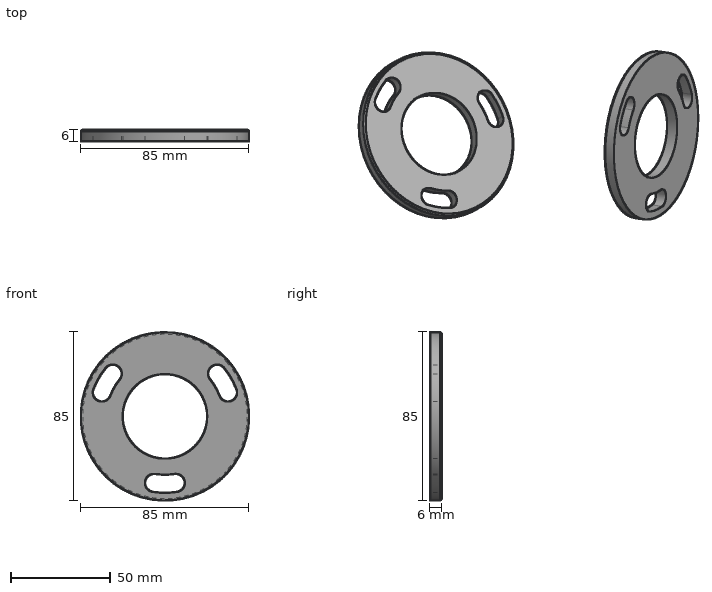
import cadquery as cq
import math

outer_diameter = 85.0
bore_diameter = 42.5
thickness = 6.0
rear_chamfer = 1.0

slot_pitch_radius = 34.0
slot_width = 9.0
slot_half_sweep = 9.25
slot_count = 3
first_slot_angle = -90.0


def ring_blank():
    """Plain ring from Y = 0 to Y = thickness, chamfered on the outer rear edge."""
    disc = cq.Workplane("XZ").circle(outer_diameter / 2).extrude(-thickness)
    disc = disc.faces(">Y").edges().chamfer(rear_chamfer)
    bore = cq.Workplane("XZ").circle(bore_diameter / 2).extrude(-thickness)
    return disc.cut(bore)


def polar_point(radius, angle):
    """Point in the XZ plane at an angle in degrees."""
    return (radius * math.cos(math.radians(angle)), radius * math.sin(math.radians(angle)))


def curved_slot(middle_angle):
    """Through cutter for one arc-shaped slot with round ends."""
    start = middle_angle - slot_half_sweep
    end = middle_angle + slot_half_sweep
    inner_radius = slot_pitch_radius - slot_width / 2
    outer_radius = slot_pitch_radius + slot_width / 2
    end_centre = cq.Vector(*polar_point(slot_pitch_radius, end))
    start_centre = cq.Vector(*polar_point(slot_pitch_radius, start))
    end_tip = end_centre + cq.Vector(*polar_point(slot_width / 2, end + 90))
    start_tip = start_centre + cq.Vector(*polar_point(slot_width / 2, start - 90))
    return (
        cq.Workplane("XZ")
        .moveTo(*polar_point(outer_radius, start))
        .threePointArc(polar_point(outer_radius, middle_angle), polar_point(outer_radius, end))
        .threePointArc((end_tip.x, end_tip.y), polar_point(inner_radius, end))
        .threePointArc(polar_point(inner_radius, middle_angle), polar_point(inner_radius, start))
        .threePointArc((start_tip.x, start_tip.y), polar_point(outer_radius, start))
        .close()
        .extrude(-thickness)
    )


result = ring_blank()
for slot_index in range(slot_count):
    result = result.cut(curved_slot(first_slot_angle + slot_index * 360 / slot_count))